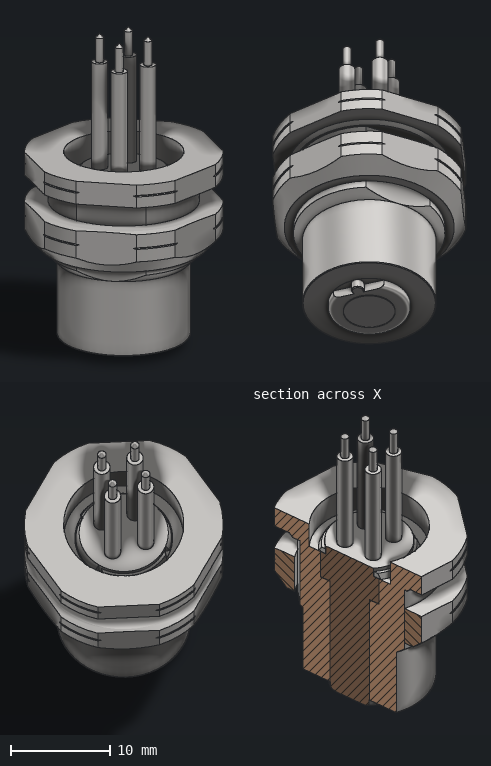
import cadquery as cq
import math

nose_bottom_z = 0.1
housing_bottom_z = 1.05
neck_top_z = 9.05
thread_bottom_z = 9.93
nut_bottom_z = 10.72
nut_top_z = 15.3
bore_floor_z = 17.62
collar_bottom_z = 17.7
flange_bottom_z = 18.1
key_top_z = 18.25
insert_top_z = 18.68
flange_top_z = 20.53
sheath_top_z = 30.0
pin_top_z = 33.0

hex_corner_radius = 10.0
hex_flat_distance = 9.5
hex_turn = 15.0
hex_half_side_angle = 30.0
groove_depth = 0.1
groove_width = 0.15

neck_radius = 6.73
neck_edge_chamfer = 0.082
thread_radius = 7.62
thread_flat_distance = neck_radius
thread_flat_angles = (-45.0, 135.0)
collar_top_radius = 8.25
collar_bottom_radius = 7.85
flange_bore_radius = 6.05
flange_groove_z = 19.35

nut_top_bevel_radius = 9.27
nut_top_bevel_height = 0.1
nut_bottom_radius = 8.55
nut_bottom_bevel_height = 1.6
nut_groove_z = 13.73

nose_radius = 4.12
nose_fillet = 0.5
nose_disc_radius = 2.6
nose_flat_y = 3.15
nose_key_width = 1.22
nose_key_tip_chamfer = 0.1
shoulder_radius = 4.92
shoulder_height = 3.3
key_bottom_radius = 5.1
key_top_radius = 4.82
key_width = 6.65
head_radius = 4.5
ramp_bottom_radius = 4.82
ramp_width = 5.55

wire_spacing = 3.5
sheath_radius = 0.82
pin_radius = 0.43


def cylinder(radius, bottom_z, top_z):
    """Cylinder on the main axis between two heights."""
    return cq.Workplane("XY").workplane(offset=bottom_z).circle(radius).extrude(top_z - bottom_z)


def cone(bottom_radius, bottom_z, top_radius, top_z):
    """Truncated cone on the main axis between two heights."""
    profile = [(0, bottom_z), (bottom_radius, bottom_z), (top_radius, top_z), (0, top_z)]
    return cq.Workplane("XZ").polyline(profile).close().revolve(360, (0, 0), (0, 1))


def slab(x_width, y_width, bottom_z, top_z):
    """Box centred on the main axis between two heights."""
    box = cq.Workplane("XY").box(x_width, y_width, top_z - bottom_z, centered=(True, True, False))
    return box.translate((0, 0, bottom_z))


def rounded_hexagon(bottom_z, top_z):
    """Hexagonal prism whose corners are rounded by a concentric cylinder."""
    across_corners = 2 * hex_flat_distance / math.cos(math.radians(hex_half_side_angle))
    height = top_z - bottom_z
    prism = cq.Workplane("XY").polygon(6, across_corners).extrude(height)
    prism = prism.rotate((0, 0, 0), (0, 0, 1), hex_turn - hex_half_side_angle).translate((0, 0, bottom_z))
    return prism.intersect(cylinder(hex_corner_radius, bottom_z, top_z))


def corner_groove(middle_z):
    """Cutter for a fine V groove round the hexagon corners."""
    profile = [
        (hex_corner_radius - groove_depth, middle_z),
        (hex_corner_radius, middle_z - groove_width / 2),
        (hex_corner_radius, middle_z + groove_width / 2),
    ]
    return cq.Workplane("XZ").polyline(profile).close().revolve(360, (0, 0), (0, 1))


def make_threaded_barrel():
    """Barrel with a bevelled lower end and two opposite flats."""
    barrel = cylinder(thread_radius, thread_bottom_z, collar_bottom_z)
    barrel = barrel.union(cone(neck_radius, neck_top_z, thread_radius, thread_bottom_z))
    cut_size = 2 * thread_radius
    for angle in thread_flat_angles:
        cutter = slab(cut_size, cut_size, neck_top_z, collar_bottom_z)
        cutter = cutter.translate((thread_flat_distance + cut_size / 2, 0, 0))
        barrel = barrel.cut(cutter.rotate((0, 0, 0), (0, 0, 1), angle))
    return barrel


def make_insert_seat():
    """Stepped cylinder of the insert inside the housing, below the floor of the flange bore."""
    shoulder_bottom_z = bore_floor_z - shoulder_height
    seat = cylinder(nose_radius, housing_bottom_z, shoulder_bottom_z)
    return seat.union(cylinder(shoulder_radius, shoulder_bottom_z, bore_floor_z))


def make_housing():
    neck = cylinder(neck_radius, housing_bottom_z, neck_top_z).faces("<Z").chamfer(neck_edge_chamfer)
    collar = cone(collar_bottom_radius, collar_bottom_z, collar_top_radius, flange_bottom_z)
    flange = rounded_hexagon(flange_bottom_z, flange_top_z).cut(corner_groove(flange_groove_z))
    housing = neck.union(make_threaded_barrel()).union(collar).union(flange)
    housing = housing.cut(cylinder(flange_bore_radius, bore_floor_z, flange_top_z))
    return housing.cut(make_insert_seat())


def make_nut():
    nut = rounded_hexagon(nut_bottom_z, nut_top_z)
    bevel_start_z = nut_bottom_z + nut_bottom_bevel_height
    bevel_end_z = nut_top_z - nut_top_bevel_height
    envelope = cone(nut_bottom_radius, nut_bottom_z, hex_corner_radius, bevel_start_z)
    envelope = envelope.union(cylinder(hex_corner_radius, bevel_start_z, bevel_end_z))
    envelope = envelope.union(cone(hex_corner_radius, bevel_end_z, nut_top_bevel_radius, nut_top_z))
    nut = nut.intersect(envelope).cut(corner_groove(nut_groove_z))
    return nut.cut(cylinder(thread_radius, nut_bottom_z, nut_top_z))


def make_nose():
    """Exposed round nose with an end disc and one flat side that carries a round-ended key."""
    nose = cylinder(nose_radius, nose_bottom_z, housing_bottom_z).faces("<Z").edges().fillet(nose_fillet)
    flat_cutter = slab(2 * nose_radius, 2 * nose_radius, nose_bottom_z, housing_bottom_z)
    nose = nose.cut(flat_cutter.translate((0, nose_flat_y + nose_radius, 0)))
    nose = nose.union(cylinder(nose_disc_radius, 0, nose_bottom_z))
    tip_radius = nose_key_width / 2
    tip_y = nose_radius - tip_radius
    key_tip = cylinder(tip_radius, nose_bottom_z, housing_bottom_z).translate((0, tip_y, 0))
    key_stem = slab(nose_key_width, tip_y, nose_bottom_z, housing_bottom_z).translate((0, tip_y / 2, 0))
    key = key_stem.union(key_tip)
    key = key.faces("<Z").edges("%CIRCLE").chamfer(nose_key_tip_chamfer)
    return nose.union(key)


def make_head():
    """Round head above the bore floor, with tapered keys along Y and sloping ramps along X."""
    head = cylinder(head_radius, bore_floor_z, insert_top_z)
    keys = cone(key_bottom_radius, bore_floor_z, key_top_radius, key_top_z)
    keys = keys.intersect(slab(key_width, 2 * key_bottom_radius, bore_floor_z, key_top_z))
    ramps = cone(ramp_bottom_radius, bore_floor_z, head_radius, insert_top_z)
    ramps = ramps.intersect(slab(2 * ramp_bottom_radius, ramp_width, bore_floor_z, insert_top_z))
    return head.union(keys).union(ramps)


def make_wire(x, y):
    """Sheathed wire with a bare pin that ends in a 45 degree point."""
    wire = cylinder(sheath_radius, insert_top_z, sheath_top_z)
    point_base_z = pin_top_z - pin_radius
    wire = wire.union(cylinder(pin_radius, sheath_top_z, point_base_z))
    point_profile = [(0, point_base_z), (pin_radius, point_base_z), (0, pin_top_z)]
    point = cq.Workplane("XZ").polyline(point_profile).close().revolve(360, (0, 0), (0, 1))
    return wire.union(point).translate((x, y, 0))


def make_insert():
    insert = make_insert_seat().union(make_nose()).union(make_head())
    for x_side in (-1, 1):
        for y_side in (-1, 1):
            insert = insert.union(make_wire(x_side * wire_spacing / 2, y_side * wire_spacing / 2))
    return insert


housing = make_housing()
nut = make_nut()
insert = make_insert()

result = cq.Compound.makeCompound([housing.solids().val(), nut.solids().val(), insert.solids().val()])